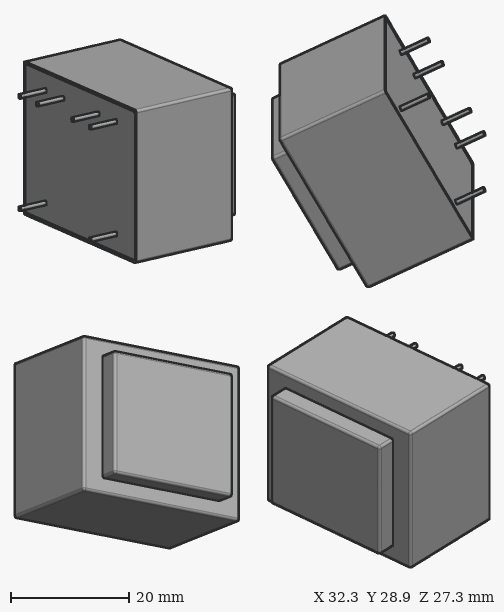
import cadquery as cq

CASE_WIDTH = 32.3
CASE_DEPTH = 20.22
CASE_HEIGHT = 27.3
EDGE_RADIUS = 0.5

RIM_WIDTH = 0.4
RECESS_DEPTH = 0.1

BLOCK_WIDTH = 24.45
BLOCK_HEIGHT = 21.65
BLOCK_DEPTH = 3.5

PIN_DIAMETER = 0.8
PIN_LENGTH = 5.23
PIN_ROW_Z = 10.0
PIN_OUTER_X = 10.1
PIN_INNER_X = PIN_OUTER_X / 2


def rounded_block(width, depth, height, front_y):
    """Block rounded on every edge except those of its front face."""
    block = cq.Workplane("XY").box(width, depth, height).translate((0, front_y + depth / 2, 0))
    return block.edges("|Y or >Y").fillet(EDGE_RADIUS)


def recess():
    """Shallow pocket in the pin face, with rounded corners."""
    width = CASE_WIDTH - 2 * RIM_WIDTH
    height = CASE_HEIGHT - 2 * RIM_WIDTH
    pocket = cq.Workplane("XZ").rect(width, height).extrude(-RECESS_DEPTH)
    return pocket.edges("|Y").fillet(EDGE_RADIUS)


def pins():
    """Round pins standing on the recessed face and pointing to -Y."""
    positions = []
    for side in (-1, 1):
        positions.append((side * PIN_OUTER_X, PIN_ROW_Z))
        positions.append((side * PIN_INNER_X, PIN_ROW_Z))
        positions.append((side * PIN_OUTER_X, -PIN_ROW_Z))
    base = cq.Workplane("XZ", origin=(0, RECESS_DEPTH, 0)).pushPoints(positions)
    return base.circle(PIN_DIAMETER / 2).extrude(PIN_LENGTH + RECESS_DEPTH)


case = rounded_block(CASE_WIDTH, CASE_DEPTH, CASE_HEIGHT, 0)
back_block = rounded_block(BLOCK_WIDTH, BLOCK_DEPTH, BLOCK_HEIGHT, CASE_DEPTH)

result = case.cut(recess()).union(back_block).union(pins())